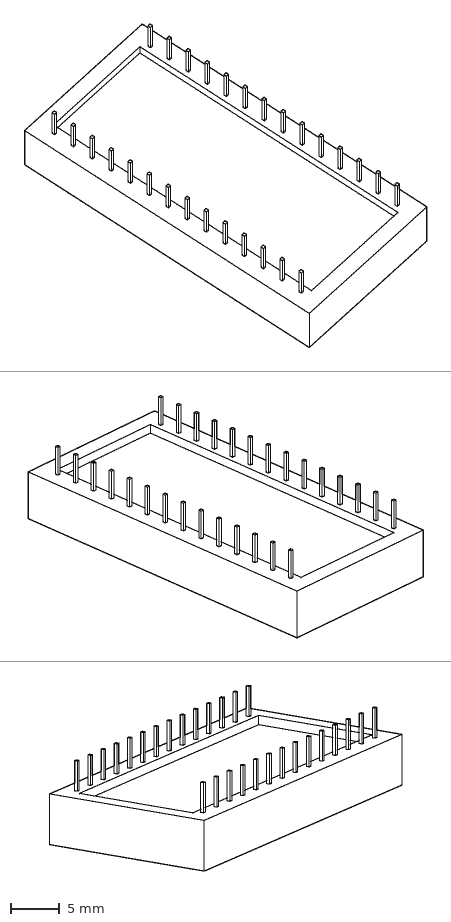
import cadquery as cq

length = 38.1
width = 18.7
total_height = 8.6
pin_height = 3.2
body_height = total_height - pin_height

pocket_length = 34.5
pocket_width = 13.7
pocket_depth = 1.0

pins_per_row = 14
row_count = 2
row_length = 33.05
row_spacing = 15.25
pin_pitch = row_length / (pins_per_row - 1)
pin_side = 0.35


def make_body():
    """Rectangular block, centred in X and Y, standing on Z = 0."""
    return cq.Workplane("XY").box(length, width, body_height, centered=(True, True, False))


def cut_pocket(body):
    """Sink the rectangular pocket into the top face."""
    return body.faces(">Z").workplane().rect(pocket_length, pocket_width).cutBlind(-pocket_depth)


def add_pins(body):
    """Raise the pins from the rim on both long sides of the pocket."""
    return (
        body.faces(">Z")
        .workplane()
        .rarray(pin_pitch, row_spacing, pins_per_row, row_count)
        .rect(pin_side, pin_side)
        .extrude(pin_height)
    )


result = add_pins(cut_pocket(make_body()))